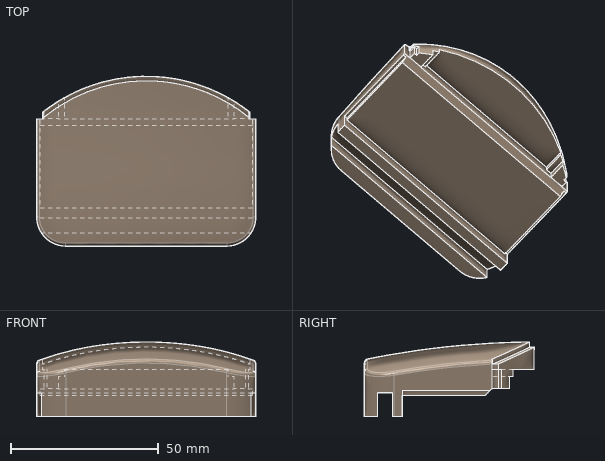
import cadquery as cq
import math

width = 74.4
half_width = width / 2
depth = 57.7
side_depth = 43.25
corner_radius = 10.05
back_half_width = 35.1
back_radius = 56.6
back_center_y = depth - back_radius
ledge_width = 1.6

height = 25.4
length_radius = 290.25
cross_radius = 116.85
crest_y = 58.8
ledge_drop = 1.8
top_fillet = 1.4

slot_front = 4.55
slot_back = 9.5
slot_height = 8.05
foot_back = 12.95
wall_bottom = 8.9
tongue_bottom = 7.15
tongue_inset = 1.1
tongue_back = 40.9
back_bottom = 9.5

ledge_bottom = 15.9
step_bottom = 13.55
upper_opening_half_width = 27.7
lower_opening_half_width = 29.7
tab_half_width = 33.65
tab_root_half_width = 34.7

margin = 0.75
overlap = 3.7
floor_z = -44.65
half_sweep = 30


def box_between(x_range, y_range, z_range):
    """Box spanning the given pairs of limits."""
    lengths = [high - low for low, high in (x_range, y_range, z_range)]
    corner = (x_range[0], y_range[0], z_range[0])
    return cq.Workplane("XY").box(*lengths, centered=False).translate(corner)


def crown(drop):
    """Solid below the top surface: a shallow arc revolved about an axis along X."""
    crest_z = height - drop
    axis_z = crest_z - length_radius
    reach = half_width + 10 * margin
    edge_z = crest_z - cross_radius + math.sqrt(cross_radius**2 - reach**2)
    return (
        cq.Workplane("XZ", origin=(0, crest_y, 0))
        .moveTo(-reach, floor_z)
        .lineTo(-reach, edge_z)
        .threePointArc((0, crest_z), (reach, edge_z))
        .lineTo(reach, floor_z)
        .close()
        .revolve(2 * half_sweep, (0, axis_z, 0), (1, axis_z, 0))
        .rotate((0, crest_y, axis_z), (1, crest_y, axis_z), -half_sweep)
    )


def back_arc_y(x, radius):
    return back_center_y + math.sqrt(radius**2 - x**2)


def main_body():
    radius = back_radius - ledge_width
    arc_end_y = back_arc_y(back_half_width, radius)
    outline = (
        cq.Workplane("XY")
        .moveTo(-half_width, 0)
        .lineTo(half_width, 0)
        .lineTo(half_width, side_depth)
        .lineTo(back_half_width, side_depth)
        .lineTo(back_half_width, arc_end_y)
        .threePointArc((0, back_center_y + radius), (-back_half_width, arc_end_y))
        .lineTo(-back_half_width, side_depth)
        .lineTo(-half_width, side_depth)
        .close()
        .extrude(height + margin)
    )
    side_limit = half_width + margin
    front_corners = cq.selectors.BoxSelector((-side_limit, -margin, -margin), (side_limit, margin, height))
    body = outline.edges("|Z").edges(front_corners).fillet(corner_radius)
    body = body.intersect(crown(0))
    top_face = body.faces(">Z")
    rounded_region = cq.selectors.BoxSelector(
        (-side_limit, -margin, 0), (side_limit, side_depth - overlap, height)
    )
    return top_face.edges(rounded_region).fillet(top_fillet)


def back_ledge():
    """Curved back strip with its top set below the main surface."""
    end_y = back_arc_y(back_half_width, back_radius)
    start_y = side_depth - overlap
    strip = (
        cq.Workplane("XY")
        .moveTo(-back_half_width, start_y)
        .lineTo(back_half_width, start_y)
        .lineTo(back_half_width, end_y)
        .threePointArc((0, depth), (-back_half_width, end_y))
        .close()
        .extrude(height)
    )
    return strip.intersect(crown(ledge_drop))


def cut_underside(body):
    profile = (
        cq.Workplane("YZ")
        .moveTo(foot_back, -margin)
        .lineTo(foot_back, tongue_bottom)
        .lineTo(tongue_back, tongue_bottom)
        .lineTo(tongue_back + back_bottom - tongue_bottom, back_bottom)
        .lineTo(depth + margin, back_bottom)
        .lineTo(depth + margin, -margin)
        .close()
        .extrude(half_width + margin, both=True)
    )
    body = body.cut(profile)
    body = body.cut(
        box_between((-half_width - margin, half_width + margin), (slot_front, slot_back), (-margin, slot_height))
    )
    for side in (-1, 1):
        x_range = sorted((side * (half_width - tongue_inset), side * (half_width + margin)))
        body = body.cut(box_between(x_range, (foot_back, side_depth), (-margin, wall_bottom)))
    return body


def cut_back_opening(body):
    y_range = (side_depth, depth + margin)
    for half_span, top in (
        (upper_opening_half_width, ledge_bottom),
        (lower_opening_half_width, step_bottom),
    ):
        body = body.cut(box_between((-half_span, half_span), y_range, (0, top)))
    ledge_end_y = back_arc_y(back_half_width, back_radius)
    for side in (-1, 1):
        for inner_x, start_y in (
            (tab_root_half_width, side_depth),
            (tab_half_width, ledge_end_y),
        ):
            x_range = sorted((side * inner_x, side * half_width))
            body = body.cut(box_between(x_range, (start_y, depth), (0, ledge_bottom)))
    return body


result = cut_back_opening(cut_underside(main_body().union(back_ledge())))